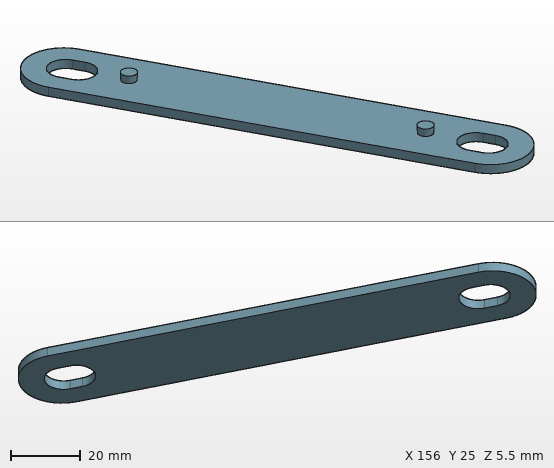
import cadquery as cq
import math

plate_length = 156.0
plate_width = 25.0
plate_thickness = 3.0

slot_length = 15.0
slot_width = 11.0
slot_offset = 63.0

overall_height = 5.5
pin_top_diameter = 5.0
pin_base_diameter = 4.7
pin_offset = 45.5
pin_height = overall_height - plate_thickness
pin_flare = (pin_top_diameter - pin_base_diameter) / 2
pin_flare_angle = math.degrees(math.atan2(pin_flare, pin_height))


def mirrored_points(offset):
    """Two points on the X axis, equally far from the plate centre."""
    return [(-offset, 0), (offset, 0)]


plate = cq.Workplane("XY").slot2D(plate_length, plate_width).extrude(plate_thickness)

slots = (
    cq.Workplane("XY")
    .pushPoints(mirrored_points(slot_offset))
    .slot2D(slot_length, slot_width)
    .extrude(plate_thickness)
)

pins = (
    cq.Workplane("XY", origin=(0, 0, plate_thickness))
    .pushPoints(mirrored_points(pin_offset))
    .circle(pin_base_diameter / 2)
    .extrude(pin_height, taper=-pin_flare_angle)
)

result = plate.cut(slots).union(pins)